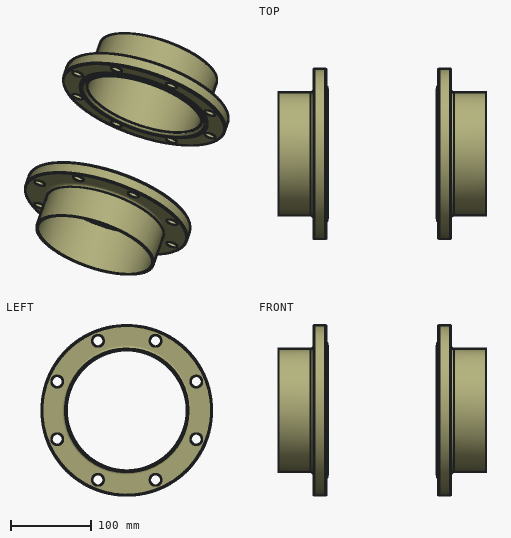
import cadquery as cq
import math

overall_length = 259.5
tube_end = overall_length / 2

tube_outer_radius = 154.0 / 2
tube_inner_radius = 150.0 / 2

flange_radius = 213.0 / 2
flange_inner_face = 69.8
flange_thickness = 15.8
flange_outer_face = flange_inner_face + flange_thickness
outer_chamfer = 1.0
inner_chamfer_length = 1.5
inner_chamfer_depth = 1.0

lip_radius = 167.5 / 2
lip_height = 1.5
lip_chamfer = 0.5
bead_radius = 80.2
bead_height = 0.8
lip_face = flange_inner_face - lip_height
bead_face = lip_face - bead_height
bore_rounding = 3.6
mouth_step = 0.5
mouth_radius = tube_inner_radius + mouth_step
neck_fillet = 3.6

seat_offset = 1.0
socket_floor = bead_face + bore_rounding + seat_offset

bolt_count = 8
bolt_hole_radius = 14.0 / 2
bolt_circle_radius = 94.0
bolt_pitch = 360 / bolt_count

cos_45 = math.cos(math.radians(45))


def revolve_about_x(profile):
    return profile.close().revolve(360, (0, 0, 0), (1, 0, 0))


def make_tube():
    """Plain tube on the +X side, seated in the flange socket."""
    return revolve_about_x(
        cq.Workplane("XY")
        .moveTo(socket_floor, tube_inner_radius)
        .lineTo(tube_end, tube_inner_radius)
        .lineTo(tube_end, tube_outer_radius)
        .lineTo(socket_floor, tube_outer_radius)
    )


def make_flange_blank():
    """Revolved flange on the +X side with its raised face toward the origin."""
    bore_round_center = (bead_face + bore_rounding, mouth_radius + bore_rounding)
    neck_center = (flange_outer_face + neck_fillet, tube_outer_radius + neck_fillet)
    return revolve_about_x(
        cq.Workplane("XY")
        .moveTo(bore_round_center[0], mouth_radius)
        .lineTo(socket_floor, mouth_radius)
        .lineTo(socket_floor, tube_outer_radius)
        .lineTo(neck_center[0], tube_outer_radius)
        .threePointArc(
            (neck_center[0] - neck_fillet * cos_45, neck_center[1] - neck_fillet * cos_45),
            (flange_outer_face, neck_center[1]),
        )
        .lineTo(flange_outer_face, flange_radius - outer_chamfer)
        .lineTo(flange_outer_face - outer_chamfer, flange_radius)
        .lineTo(flange_inner_face + inner_chamfer_length, flange_radius)
        .lineTo(flange_inner_face, flange_radius - inner_chamfer_depth)
        .lineTo(flange_inner_face, lip_radius)
        .lineTo(lip_face + lip_chamfer, lip_radius)
        .lineTo(lip_face, lip_radius - lip_chamfer)
        .lineTo(lip_face, bead_radius)
        .lineTo(bead_face, bead_radius)
        .lineTo(bead_face, bore_round_center[1])
        .threePointArc(
            (bore_round_center[0] - bore_rounding * cos_45, bore_round_center[1] - bore_rounding * cos_45),
            (bore_round_center[0], mouth_radius),
        )
    )


def make_bolt_holes():
    """Cutters spread evenly around the bolt circle, straddling the Y and Z axes."""
    return (
        cq.Workplane("YZ", origin=(flange_inner_face, 0, 0))
        .polarArray(bolt_circle_radius, bolt_pitch / 2, 360, bolt_count)
        .circle(bolt_hole_radius)
        .extrude(flange_thickness)
    )


def make_flange():
    return make_flange_blank().cut(make_bolt_holes())


bodies = []
for turn in (0, 180):
    for body in (make_tube(), make_flange()):
        bodies.append(body.rotate((0, 0, 0), (0, 0, 1), turn).val())

result = cq.Compound.makeCompound(bodies)